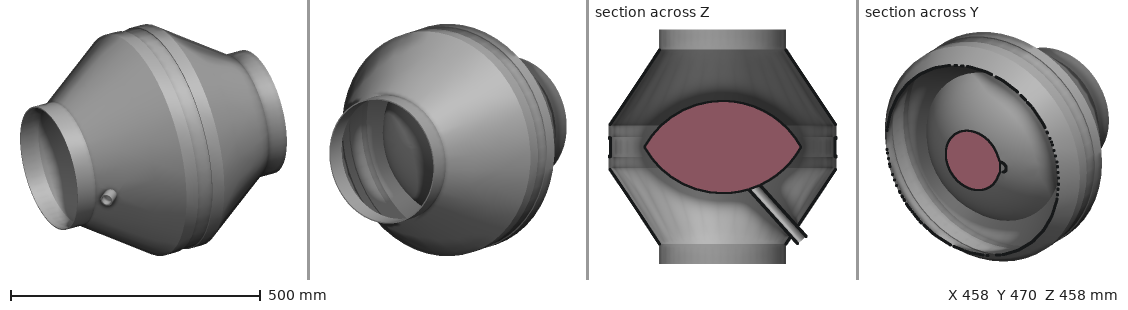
import cadquery as cq
import math


SHEET = 2.5
TOTAL_LENGTH = 470.0
SPIGOT_OUTER_RADIUS = 255.0 / 2
SPIGOT_LENGTH = 40.0
RIM_OUTER_RADIUS = 458.0 / 2
RIM_LENGTH = 26.5
RIM_GAP = 32.0

BAND_LENGTH = 40.0

DOME_SPHERE_RADIUS = 180.0
DOME_DEPTH = 93.0

PIPE_OUTER_DIAMETER = 25.0
PIPE_BORE_DIAMETER = 20.0
PIPE_LENGTH = 150.0
PIPE_END_X = 159.4
PIPE_END_Y = -187.0
PIPE_ANGLE = 132.0

SPIGOT_INNER_RADIUS = SPIGOT_OUTER_RADIUS - SHEET
RIM_INNER_RADIUS = RIM_OUTER_RADIUS - SHEET
BAND_INNER_RADIUS = RIM_INNER_RADIUS - SHEET
MOUTH_Y = TOTAL_LENGTH / 2
CONE_SMALL_Y = MOUTH_Y - SPIGOT_LENGTH
RIM_FACE_Y = RIM_GAP / 2
CONE_LARGE_Y = RIM_FACE_Y + RIM_LENGTH


def revolve_about_y(profile):
    """Turn a closed XY profile a full turn about the Y axis."""
    return profile.revolve(360, (0, 0, 0), (0, 1, 0))


def make_shell():
    """The +Y half of the housing: spigot, cone and rim in sheet."""
    profile = (
        cq.Workplane("XY")
        .moveTo(SPIGOT_OUTER_RADIUS, MOUTH_Y)
        .lineTo(SPIGOT_OUTER_RADIUS, CONE_SMALL_Y)
        .lineTo(RIM_OUTER_RADIUS, CONE_LARGE_Y)
        .lineTo(RIM_OUTER_RADIUS, RIM_FACE_Y)
        .lineTo(RIM_INNER_RADIUS, RIM_FACE_Y)
        .lineTo(RIM_INNER_RADIUS, CONE_LARGE_Y)
        .lineTo(SPIGOT_INNER_RADIUS, CONE_SMALL_Y)
        .lineTo(SPIGOT_INNER_RADIUS, MOUTH_Y)
        .close()
    )
    return revolve_about_y(profile)


def make_band():
    """Ring that joins the two rims across the gap between them."""
    middle_radius = (BAND_INNER_RADIUS + RIM_INNER_RADIUS) / 2
    profile = cq.Workplane("XY").center(middle_radius, 0).rect(SHEET, BAND_LENGTH)
    return profile.revolve(360, (-middle_radius, 0, 0), (-middle_radius, 1, 0))


def make_core():
    """Lens of two equal spherical caps meeting at a sharp rim on the mid-plane."""
    center_y = DOME_SPHERE_RADIUS - DOME_DEPTH
    half_angle = math.acos(center_y / DOME_SPHERE_RADIUS)

    def on_sphere(angle):
        return (
            DOME_SPHERE_RADIUS * math.sin(angle),
            center_y - DOME_SPHERE_RADIUS * math.cos(angle),
        )

    profile = (
        cq.Workplane("XY")
        .moveTo(0, -DOME_DEPTH)
        .threePointArc(on_sphere(half_angle / 2), on_sphere(half_angle))
        .lineTo(0, 0)
        .close()
    )
    front_dome = revolve_about_y(profile)
    return front_dome.union(front_dome.mirror("XZ"))


def make_pipe_rod(diameter):
    """Round rod along the pipe axis, starting at the pipe's outer end."""
    angle = math.radians(PIPE_ANGLE)
    end_plane = cq.Plane(
        origin=(PIPE_END_X, PIPE_END_Y, 0),
        xDir=(0, 0, 1),
        normal=(math.cos(angle), math.sin(angle), 0),
    )
    return cq.Workplane(end_plane).circle(diameter / 2).extrude(PIPE_LENGTH)


rear_shell = make_shell()
front_shell = rear_shell.mirror("XZ")
housing = rear_shell.union(front_shell).union(make_band())

piped_housing = housing.union(make_pipe_rod(PIPE_OUTER_DIAMETER)).cut(make_pipe_rod(PIPE_BORE_DIAMETER))

result = piped_housing.union(make_core())